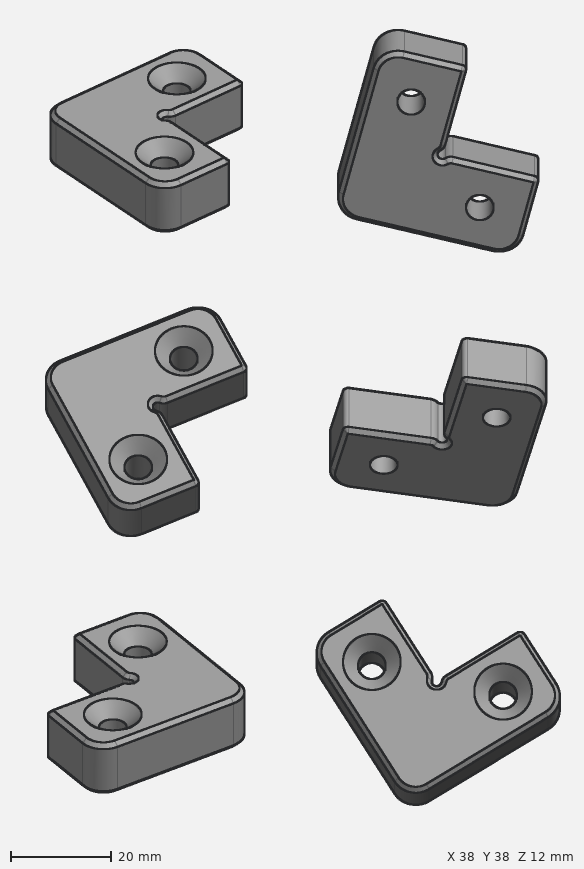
import cadquery as cq
import math

side = 38.0
thickness = 12.0
arm_width = 18.0

outer_radius = 5.0
tip_radius = 1.03
edge_chamfer = 1.0

relief_radius = 1.0
blend_radius = 2 * relief_radius

hole_diameter = 5.5
countersink_diameter = 11.5
countersink_angle = 90.0
hole_inset = arm_width / 2
hole_reach = 28.0


def relieved_outline():
    """L-shaped outline with sharp outer corners and a blended inner relief."""
    centre_distance = relief_radius + blend_radius
    blend_start = math.sqrt(centre_distance**2 - blend_radius**2)
    join_near = blend_radius * relief_radius / centre_distance
    join_far = blend_start * relief_radius / centre_distance
    relief_mid = relief_radius / math.sqrt(2)

    half_sweep = math.atan2(blend_start, blend_radius) / 2
    mid_near = blend_radius * (math.cos(half_sweep) - 1)
    mid_far = blend_start - blend_radius * math.sin(half_sweep)

    corner = arm_width
    return (
        cq.Workplane("XY")
        .moveTo(0, 0)
        .lineTo(side, 0)
        .lineTo(side, corner)
        .lineTo(corner + blend_start, corner)
        .threePointArc(
            (corner + mid_far, corner + mid_near),
            (corner + join_far, corner - join_near),
        )
        .threePointArc(
            (corner - relief_mid, corner - relief_mid),
            (corner - join_near, corner + join_far),
        )
        .threePointArc(
            (corner + mid_near, corner + mid_far),
            (corner, corner + blend_start),
        )
        .lineTo(corner, side)
        .lineTo(0, side)
        .close()
    )


def vertical_edge_at(x, y):
    """Selector for the full-height edge standing at (x, y)."""
    margin = 0.05
    return cq.selectors.BoxSelector(
        (x - margin, y - margin, 0),
        (x + margin, y + margin, thickness),
    )


body = relieved_outline().extrude(thickness)

for x, y in [(0, 0), (side, 0), (0, side)]:
    body = body.edges(vertical_edge_at(x, y)).fillet(outer_radius)

for x, y in [(side, arm_width), (arm_width, side)]:
    body = body.edges(vertical_edge_at(x, y)).fillet(tip_radius)

body = body.faces("<Z or >Z").edges().chamfer(edge_chamfer)

result = (
    body.faces(">Z")
    .workplane(origin=(0, 0, thickness))
    .pushPoints([(hole_inset, hole_reach), (hole_reach, hole_inset)])
    .cskHole(hole_diameter, countersink_diameter, countersink_angle)
)